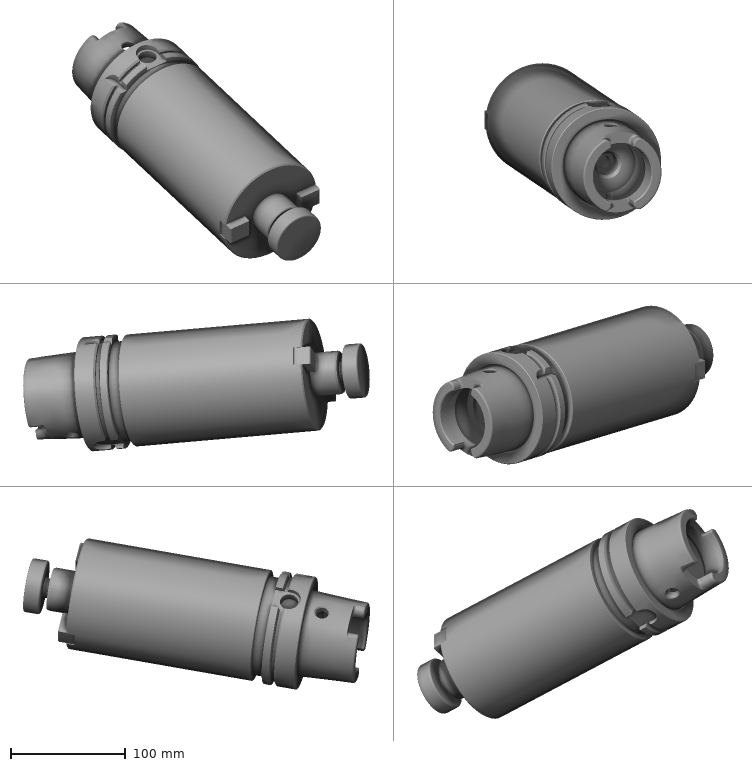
import cadquery as cq

TAPER_END = 48.0
FLANGE_FACE = 49.3
GROOVE_START = 66.5
GROOVE_WALL = 68.0
GROOVE_FLOOR_END = 71.0
GROOVE_END = 72.5
FLANGE_END = 79.0
BARREL_START = 89.0
BARREL_END = 253.5
RELIEF_END = 256.0
SPIGOT_END = 277.3
OVERALL_LENGTH = 297.2

TAPER_BASE_R = 38.0
TAPER_SLOPE = 1 / 20
TAPER_MOUTH_R = TAPER_BASE_R - TAPER_SLOPE * TAPER_END
UNDERCUT_R = 39.8
FLANGE_R = 50.0
GROOVE_SHOULDER_R = 48.5
GROOVE_R = 46.0
NECK_R = 43.7
BARREL_R = 49.0
RELIEF_R = 37.7 / 2
SPIGOT_R = 38.0 / 2

MOUTH_ROUND = 1.5
UNDERCUT_DEPTH = 1.2
EDGE_CHAMFER = 0.5
BARREL_END_CHAMFER = 1.2
SPIGOT_CHAMFER_LENGTH = 1.8
SPIGOT_CHAMFER_DEPTH = 1.0

BORE_R = 53.0 / 2
BORE_CHAMFER = 1.0
BORE_STRAIGHT = 19.3
BORE_RECESS_R = 30.5
BORE_RECESS_END = 40.0
BORE_FLOOR_R = 24.0
BORE_DEPTH = 44.5
CENTRE_CHAMFER_R = 12.2
CENTRE_R = 9.8
CENTRE_DEPTH = 15.0
PILOT_R = 12.0 / 2
PILOT_DEPTH = 9.0

DRIVE_HALF_WIDTH = 10.0
DRIVE_TOP_DEPTH = 10.5
DRIVE_BOTTOM_DEPTH = 15.0
DRIVE_LAND_Z = 31.8
DRIVE_LAND_ROUND = 5.3
DRIVE_FLOOR_ROUND = 2.0
DRIVE_OVERRUN = 3.0
SELECTION_MARGIN = 0.3

CROSS_HOLE_R = 11.3 / 2
CROSS_HOLE_X = 35.5
CROSS_SINK_R = 6.8
CROSS_SINK_START_Z = 36.3

KEYWAY_R = 10.0
KEYWAY_X = 64.8
KEYWAY_FLOOR_Z = 44.5
POCKET_R = 16.0 / 2
POCKET_DEPTH = 7.5
NOTCH_WALL = 32.0
NOTCH_FLOOR_Z = 31.5

KEY_START = 245.8
KEY_END = 261.0
KEY_HALF_WIDTH = 8.0
KEY_OUTER_Y = 47.5
KEY_INNER_Y = 27.3
KEY_CHAMFER = 1.0

SHANK_R = 19.0 / 2
SHANK_START = 237.8
SHANK_END = 278.8
SCREW_NECK_R = 17.2 / 2
SCREW_NECK_END = 280.3
COLLAR_START = 282.0
HEAD_START = 283.0
HEAD_R = 23.8
HEAD_ROUND = 1.5


def revolve_about_x(profile):
    """Revolve a closed (x, radius) profile about the X axis."""
    return profile.close().revolve(360, (0, 0, 0), (1, 0, 0))


def block(x0, x1, y0, y1, z0, z1):
    """A box given by its limits along each axis."""
    return cq.Workplane("XY").box(x1 - x0, y1 - y0, z1 - z0, centered=False).translate((x0, y0, z0))


def turned_holder():
    """Outside of the holder: taper, flange, neck, barrel and spigot."""
    profile = (
        cq.Workplane("XY")
        .moveTo(0, 0)
        .lineTo(0, TAPER_MOUTH_R)
        .lineTo(TAPER_END, TAPER_BASE_R)
        .lineTo(FLANGE_FACE + UNDERCUT_DEPTH, TAPER_BASE_R)
        .lineTo(FLANGE_FACE, UNDERCUT_R)
        .lineTo(FLANGE_FACE, FLANGE_R - EDGE_CHAMFER)
        .lineTo(FLANGE_FACE + EDGE_CHAMFER, FLANGE_R)
        .lineTo(GROOVE_START, FLANGE_R)
        .lineTo(GROOVE_WALL, GROOVE_SHOULDER_R)
        .lineTo(GROOVE_WALL, GROOVE_R)
        .lineTo(GROOVE_FLOOR_END, GROOVE_R)
        .lineTo(GROOVE_END, FLANGE_R)
        .lineTo(FLANGE_END - EDGE_CHAMFER, FLANGE_R)
        .lineTo(FLANGE_END, FLANGE_R - EDGE_CHAMFER)
        .lineTo(FLANGE_END, NECK_R)
        .lineTo(BARREL_START, NECK_R)
        .lineTo(BARREL_START, BARREL_R - EDGE_CHAMFER)
        .lineTo(BARREL_START + EDGE_CHAMFER, BARREL_R)
        .lineTo(BARREL_END - BARREL_END_CHAMFER, BARREL_R)
        .lineTo(BARREL_END, BARREL_R - BARREL_END_CHAMFER)
        .lineTo(BARREL_END, RELIEF_R)
        .lineTo(RELIEF_END, RELIEF_R)
        .lineTo(RELIEF_END, SPIGOT_R)
        .lineTo(SPIGOT_END - SPIGOT_CHAMFER_LENGTH, SPIGOT_R)
        .lineTo(SPIGOT_END, SPIGOT_R - SPIGOT_CHAMFER_DEPTH)
        .lineTo(SPIGOT_END, 0)
    )
    return revolve_about_x(profile)


def taper_bore():
    """Bore of the taper with an inner recess and the stepped centre hole in its floor."""
    chamfer_end = BORE_DEPTH + CENTRE_CHAMFER_R - CENTRE_R
    centre_end = BORE_DEPTH + CENTRE_DEPTH
    pilot_end = centre_end + PILOT_DEPTH
    profile = (
        cq.Workplane("XY")
        .moveTo(0, 0)
        .lineTo(0, BORE_R + BORE_CHAMFER)
        .lineTo(BORE_CHAMFER, BORE_R)
        .lineTo(BORE_STRAIGHT, BORE_R)
        .lineTo(BORE_STRAIGHT + BORE_RECESS_R - BORE_R, BORE_RECESS_R)
        .lineTo(BORE_RECESS_END, BORE_RECESS_R)
        .lineTo(BORE_RECESS_END, BORE_FLOOR_R)
        .lineTo(BORE_DEPTH, BORE_FLOOR_R)
        .lineTo(BORE_DEPTH, CENTRE_CHAMFER_R)
        .lineTo(chamfer_end, CENTRE_R)
        .lineTo(centre_end, CENTRE_R)
        .lineTo(centre_end, PILOT_R)
        .lineTo(pilot_end, PILOT_R)
        .lineTo(pilot_end, 0)
    )
    return revolve_about_x(profile)


def drive_slot(depth):
    """Slot across the upper taper wall that widens above a flat land with rounded shoulders."""
    top = FLANGE_R
    slot = block(-DRIVE_OVERRUN, depth, -DRIVE_HALF_WIDTH, DRIVE_HALF_WIDTH, 0, top)
    land = block(-DRIVE_OVERRUN, depth, -BORE_R, BORE_R, DRIVE_LAND_Z, top)
    cutter = slot.union(land)
    reach = DRIVE_HALF_WIDTH + SELECTION_MARGIN
    shoulders = cq.selectors.BoxSelector(
        (-2 * DRIVE_OVERRUN, -reach, DRIVE_LAND_Z - SELECTION_MARGIN),
        (depth + DRIVE_OVERRUN, reach, DRIVE_LAND_Z + SELECTION_MARGIN),
    )
    cutter = cutter.edges("|X").edges(shoulders).fillet(DRIVE_LAND_ROUND)
    return cutter.faces(">X").edges().fillet(DRIVE_FLOOR_ROUND)


def cross_hole():
    """Radial hole through both walls of the taper, lightly countersunk on the outside."""
    sink_end = CROSS_SINK_START_Z + CROSS_SINK_R - CROSS_HOLE_R
    profile = (
        cq.Workplane("XZ")
        .moveTo(0, 0)
        .lineTo(CROSS_HOLE_R, 0)
        .lineTo(CROSS_HOLE_R, CROSS_SINK_START_Z)
        .lineTo(CROSS_SINK_R, sink_end)
        .lineTo(CROSS_SINK_R, FLANGE_R)
        .lineTo(0, FLANGE_R)
        .close()
    )
    upper = profile.revolve(360, (0, 0, 0), (0, 1, 0)).translate((CROSS_HOLE_X, 0, 0))
    return upper.union(upper.mirror("XY"))


def round_ended_slot(centre_y, floor_z):
    """Slot open toward the neck, with a half-round end, cut down to floor_z."""
    height = FLANGE_R - floor_z
    end = cq.Workplane("XY", origin=(KEYWAY_X, centre_y, floor_z)).circle(KEYWAY_R).extrude(height)
    run = block(KEYWAY_X, FLANGE_END, centre_y - KEYWAY_R, centre_y + KEYWAY_R, floor_z, FLANGE_R)
    return end.union(run)


def keyway_pocket():
    """Shallow round pocket in the floor of the upper keyway."""
    base = cq.Workplane("XY", origin=(KEYWAY_X, 0, KEYWAY_FLOOR_Z - POCKET_DEPTH))
    return base.circle(POCKET_R).extrude(POCKET_DEPTH)


def drive_key(side):
    """Rectangular key standing out of the barrel face, on the side given by +1 or -1."""
    key = block(KEY_START, KEY_END, KEY_INNER_Y, KEY_OUTER_Y, -KEY_HALF_WIDTH, KEY_HALF_WIDTH)
    key = key.faces("<X or >X").edges("|Z").chamfer(KEY_CHAMFER)
    return key if side > 0 else key.mirror("XZ")


def key_slot(side):
    """Slot in the barrel end that seats one drive key and is open to the outside."""
    slot = block(KEY_START, KEY_END, KEY_INNER_Y, BARREL_R, -KEY_HALF_WIDTH, KEY_HALF_WIDTH)
    return slot if side > 0 else slot.mirror("XZ")


def clamping_screw():
    """Screw with a plain shank, a thinner neck, a coned collar and a round head."""
    profile = (
        cq.Workplane("XY")
        .moveTo(SHANK_START, 0)
        .lineTo(SHANK_START, SHANK_R)
        .lineTo(SHANK_END, SHANK_R)
        .lineTo(SHANK_END, SCREW_NECK_R)
        .lineTo(SCREW_NECK_END, SCREW_NECK_R)
        .lineTo(COLLAR_START, SHANK_R)
        .lineTo(HEAD_START, SHANK_R)
        .lineTo(HEAD_START, HEAD_R - HEAD_ROUND)
        .radiusArc((HEAD_START + HEAD_ROUND, HEAD_R), HEAD_ROUND)
        .lineTo(OVERALL_LENGTH - HEAD_ROUND, HEAD_R)
        .radiusArc((OVERALL_LENGTH, HEAD_R - HEAD_ROUND), HEAD_ROUND)
        .lineTo(OVERALL_LENGTH, 0)
    )
    return revolve_about_x(profile)


def screw_hole():
    """Blind hole in the spigot that the screw shank fills."""
    hole = cq.Workplane("YZ", origin=(SHANK_START, 0, 0)).circle(SHANK_R)
    return hole.extrude(SPIGOT_END - SHANK_START)


SIDES = (1, -1)

holder = turned_holder().cut(drive_slot(DRIVE_TOP_DEPTH))
holder = holder.cut(drive_slot(DRIVE_BOTTOM_DEPTH).mirror("XY"))
holder = holder.faces("<X").edges().fillet(MOUTH_ROUND)
holder = holder.cut(taper_bore())
holder = holder.cut(cross_hole())
keyway = round_ended_slot(0, KEYWAY_FLOOR_Z)
holder = holder.cut(keyway).cut(keyway.mirror("XY")).cut(keyway_pocket())
holder = holder.cut(round_ended_slot(-NOTCH_WALL - KEYWAY_R, NOTCH_FLOOR_Z))
for side in SIDES:
    holder = holder.cut(key_slot(side))
holder = holder.cut(screw_hole())

screw = clamping_screw()
keys = [drive_key(side).val() for side in SIDES]

result = cq.Compound.makeCompound([holder.val(), screw.val(), *keys])